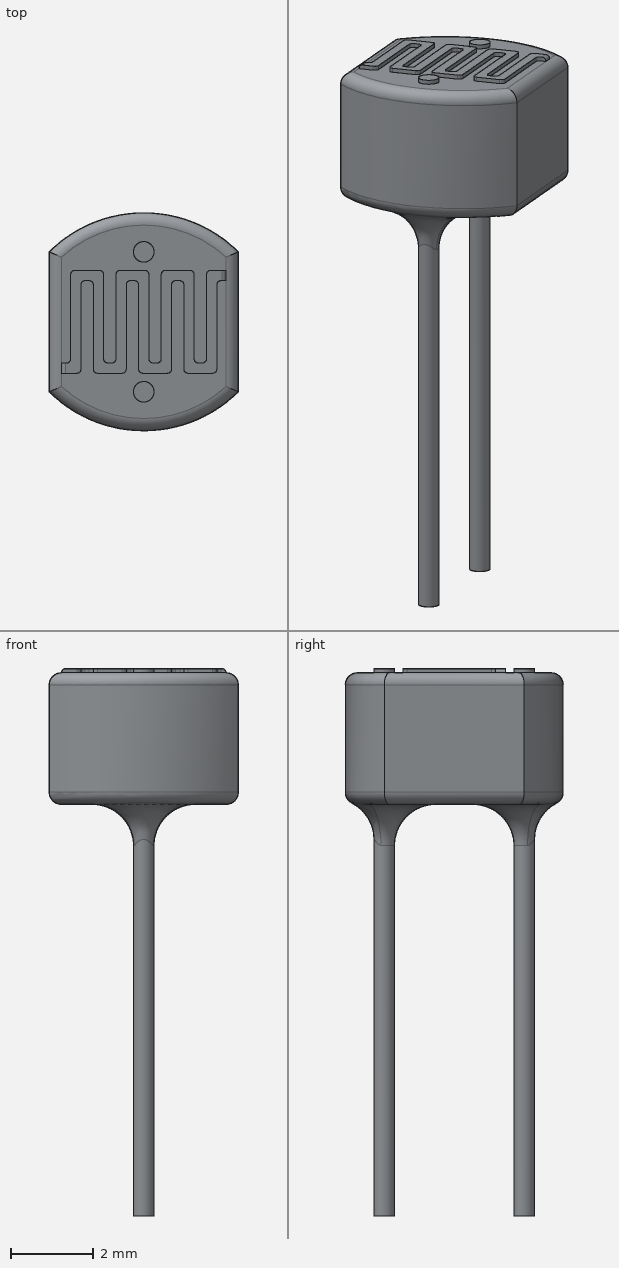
import cadquery as cq
import math

body_width = 4.6
body_depth = 5.3
flat_length = 3.4
body_height = 3.2
body_edge_radius = 0.3

lead_diameter = 0.5
lead_spacing = 3.4
lead_length = 10.0
lead_root_radius = 1.0

raised_height = 0.1

track_width = 0.25
track_pitch = 0.55
track_bars = 7
track_span = 2.5
track_corner_radius = 0.1

lead_positions = [(0, -lead_spacing / 2), (0, lead_spacing / 2)]


def make_body():
    """Barrel with flats at both X ends, rounded along its top and bottom rims."""
    half_width = body_width / 2
    half_flat = flat_length / 2
    half_depth = body_depth / 2
    return (
        cq.Workplane("XY")
        .moveTo(-half_width, -half_flat)
        .threePointArc((0, -half_depth), (half_width, -half_flat))
        .lineTo(half_width, half_flat)
        .threePointArc((0, half_depth), (-half_width, half_flat))
        .close()
        .extrude(body_height)
        .faces("<Z or >Z")
        .edges()
        .fillet(body_edge_radius)
    )


def add_leads(body):
    """Round leads below the body, each flaring into its underside."""
    leads = (
        cq.Workplane("XY")
        .pushPoints(lead_positions)
        .circle(lead_diameter / 2)
        .extrude(-lead_length)
    )
    root_box = cq.selectors.BoxSelector(
        (-lead_diameter, -lead_spacing, -lead_diameter),
        (lead_diameter, lead_spacing, lead_diameter),
    )
    root_circles = cq.selectors.RadiusNthSelector(0)
    return body.union(leads).edges(root_box).edges(root_circles).fillet(lead_root_radius)


def make_lead_caps():
    """Raised discs on the top face, in line with the leads."""
    return (
        cq.Workplane("XY", origin=(0, 0, body_height))
        .pushPoints(lead_positions)
        .circle(lead_diameter / 2)
        .extrude(raised_height)
    )


def make_track_blank():
    """Plate as large as the whole track, with a full quarter round along each X end."""
    end_x = body_width / 2 - body_edge_radius
    flat_end_x = end_x - raised_height
    arc_x = flat_end_x + raised_height * math.sin(math.pi / 4)
    arc_z = raised_height * math.sin(math.pi / 4)
    return (
        cq.Workplane("XZ", origin=(0, 0, body_height))
        .moveTo(-end_x, 0)
        .threePointArc((-arc_x, arc_z), (-flat_end_x, raised_height))
        .lineTo(flat_end_x, raised_height)
        .threePointArc((arc_x, arc_z), (end_x, 0))
        .close()
        .extrude(track_span / 2, both=True)
    )


def make_track():
    """Raised serpentine strip running from one flat side to the other, its ends rounded over."""
    turn_y = (track_span - track_width) / 2
    end_x = body_width / 2 - body_edge_radius
    first_bar_x = -track_pitch * (track_bars - 1) / 2

    path = [(-end_x, -turn_y)]
    for bar in range(track_bars):
        bar_x = first_bar_x + bar * track_pitch
        start_y = turn_y if bar % 2 else -turn_y
        path += [(bar_x, start_y), (bar_x, -start_y)]
    path.append((end_x, turn_y))

    plane = cq.Workplane("XY", origin=(0, 0, body_height))
    segments = cq.Workplane("XY")
    for (x0, y0), (x1, y1) in zip(path, path[1:]):
        segment = (
            plane.center((x0 + x1) / 2, (y0 + y1) / 2)
            .rect(abs(x1 - x0) + track_width, abs(y1 - y0) + track_width)
            .extrude(raised_height)
        )
        segments = segments.union(segment)

    track = make_track_blank().intersect(segments).clean()
    return track.edges("|Z").fillet(track_corner_radius)


result = add_leads(make_body()).union(make_lead_caps()).union(make_track())